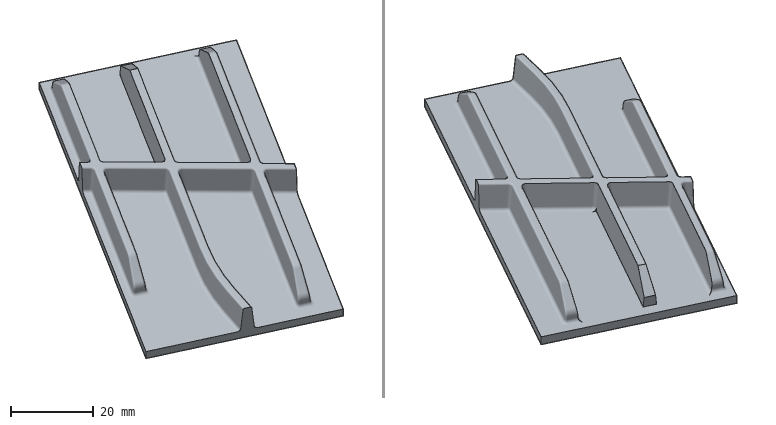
import cadquery as cq
import math

length = 92.6
width = 50.1
height = 10.5
plate = 2.5

rib_height = height - plate
rib_top = 2.0
draft = 5.0
rib_half_top = rib_top / 2
rib_half_base = rib_half_top + rib_height * math.tan(math.radians(draft))

base_round = 0.9
corner_round = 1.0
top_round = 0.5
slope_round = 2.0

back_y = 41.3
middle_y = 21.3
front_y = 3.9
left_end = 3.0
back_right_end = 88.9
front_right_end = 74.0
slope_run = 6.3
slope_drop = 5.0
shoulder = height - slope_drop

bend_start = 70.1
bend_radius = 52.8
bend_angle = math.radians(17.0)

cross_x = 43.4
lean = math.radians(16.7)

overrun = 9.3
tolerance = 0.01


def cross_x_at(y):
    """X of the cross rib centreline at a given Y."""
    return cross_x + (y - width / 2) * math.tan(lean)


def rib_section(x, y, direction):
    """Trapezoid section standing on the plate, square to the rib direction."""
    along_x, along_y = direction
    plane = cq.Plane(origin=(x, y, plate), xDir=(-along_y, along_x, 0), normal=(along_x, along_y, 0))
    return cq.Workplane(plane).polyline([
        (-rib_half_base, 0),
        (rib_half_base, 0),
        (rib_half_top, rib_height),
        (-rib_half_top, rib_height),
    ]).close()


def extrude_profile(points):
    """Side profile in XZ, carried across the full width."""
    return cq.Workplane("XZ").polyline(points).close().extrude(-width)


def outer_rib(y, right_end):
    """Straight rib with both ends sloped and the slopes blended in."""
    profile = extrude_profile([
        (left_end, 0),
        (right_end, 0),
        (right_end, shoulder),
        (right_end - slope_run, height),
        (left_end + slope_run, height),
        (left_end, shoulder),
    ]).edges("|Y and (not <Z)").fillet(slope_round)
    return rib_section(0, y, (1, 0)).extrude(length).intersect(profile)


def middle_rib():
    """Rib with a sharp-edged slope at the left and a bend near the right side."""
    bend_end_x = bend_start + bend_radius * math.sin(bend_angle)
    bend_end_y = middle_y + bend_radius * (1 - math.cos(bend_angle))
    outlet_direction = (math.cos(bend_angle), math.sin(bend_angle))

    straight = rib_section(0, middle_y, (1, 0)).extrude(bend_start)
    bend = rib_section(bend_start, middle_y, (1, 0)).revolve(
        math.degrees(bend_angle), (bend_radius, 0), (bend_radius, 1))
    outlet = rib_section(bend_end_x, bend_end_y, outlet_direction).extrude(length - bend_end_x + overrun)

    profile = extrude_profile([
        (left_end, 0),
        (length, 0),
        (length, height),
        (left_end + slope_run, height),
        (left_end, shoulder),
    ])
    return straight.union(bend).union(outlet).intersect(profile)


def cross_rib():
    """Leaning rib across the full width, cut flush with the plate sides."""
    direction = (math.sin(lean), math.cos(lean))
    reach = (width + 2 * overrun) / math.cos(lean)
    rib = rib_section(cross_x_at(-overrun), -overrun, direction).extrude(reach)
    return rib.intersect(cq.Workplane().box(length, width, height, centered=False))


def is_inside(point):
    """True for points off the plate sides."""
    return tolerance < point.x < length - tolerance and tolerance < point.y < width - tolerance


def junction_corners(solid):
    """Full-height edges where the cross rib meets the lengthwise ribs."""
    corners = []
    for edge in solid.edges().vals():
        box = edge.BoundingBox()
        full_height = box.zmin < plate + tolerance and box.zmax > height - tolerance
        before_bend = edge.Center().x < bend_start - tolerance
        if full_height and before_bend and is_inside(edge.Center()):
            corners.append(edge)
    return corners


def level_edges(solid, z):
    """Edges lying at height z, leaving out those on the plate sides."""
    edges = []
    for edge in solid.edges().vals():
        box = edge.BoundingBox()
        level = abs(box.zmin - z) < tolerance and abs(box.zmax - z) < tolerance
        if level and is_inside(edge.Center()):
            edges.append(edge)
    return edges


def top_edges(solid):
    """Top edges to round: all but those around the two bays open to the left."""
    edges = []
    for edge in level_edges(solid, height):
        center = edge.Center()
        in_left_bays = front_y < center.y < back_y and center.x < cross_x_at(center.y)
        crosses_rib = abs(edge.tangentAt(0).x) < tolerance
        if not in_left_bays and not crosses_rib:
            edges.append(edge)
    return edges


def middle_rib_base_round(side):
    """Base round on one side (+1 or -1 in Y) of the middle rib, left of the cross rib."""
    base_y = middle_y + side * rib_half_base
    corner_x = cross_x_at(base_y) - rib_half_base / math.cos(lean)
    corner_tangent = corner_round * math.tan((math.pi / 2 - side * lean) / 2)
    depth = rib_half_base + 2 * base_round
    strip = cq.Workplane().box(corner_x - corner_tangent, depth, rib_height, centered=(False, True, False))
    return strip.translate((0, middle_y + side * depth / 2, plate)).cut(middle_rib())


body = cq.Workplane().box(length, width, plate, centered=False)
body = body.union(cross_rib())
body = body.union(outer_rib(back_y, back_right_end))
body = body.union(outer_rib(front_y, front_right_end))
body = body.union(middle_rib())

body = body.newObject(junction_corners(body)).fillet(corner_round)
body = body.newObject(top_edges(body)).fillet(top_round)
body = body.newObject(level_edges(body, plate)).fillet(base_round)

for side in (1, -1):
    body = body.cut(middle_rib_base_round(side))

result = body